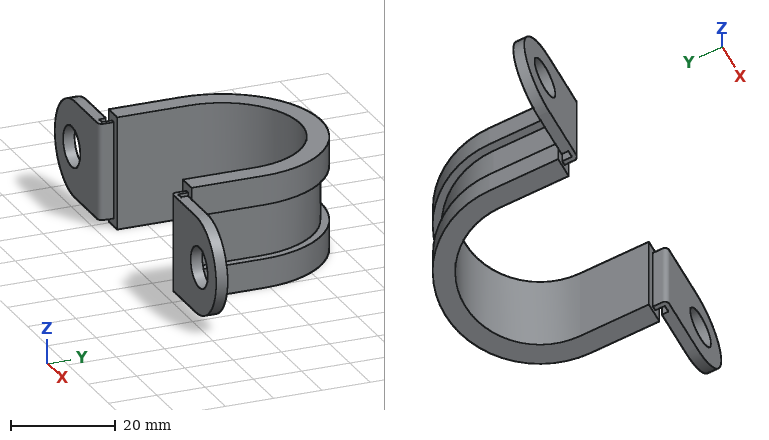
import cadquery as cq

overall_length = 79.8
overall_depth = 38.5

cushion_width = 23.4
cushion_outer_radius = 20.5
cushion_thickness = 4.3
cushion_end_y = 3.0
groove_width = 11.25
groove_depth = 1.7

strap_thickness = 0.95
lug_thickness = 2.4
lug_width = 20.0
lug_gap = 1.4
hole_diameter = 8.4
hole_edge_distance = 8.4

arch_center_y = overall_depth - cushion_outer_radius
cushion_inner_radius = cushion_outer_radius - cushion_thickness
strap_outer_radius = cushion_outer_radius - groove_depth
strap_inner_radius = strap_outer_radius - strap_thickness


def arch(outer_radius, inner_radius, end_y, width):
    """A half ring with straight legs running down to end_y, centered on Z = 0."""
    return (
        cq.Workplane("XY")
        .workplane(offset=-width / 2)
        .moveTo(-outer_radius, end_y)
        .lineTo(-outer_radius, arch_center_y)
        .threePointArc((0, arch_center_y + outer_radius), (outer_radius, arch_center_y))
        .lineTo(outer_radius, end_y)
        .lineTo(inner_radius, end_y)
        .lineTo(inner_radius, arch_center_y)
        .threePointArc((0, arch_center_y + inner_radius), (-inner_radius, arch_center_y))
        .lineTo(-inner_radius, end_y)
        .close()
        .extrude(width)
    )


def make_cushion():
    body = arch(cushion_outer_radius, cushion_inner_radius, cushion_end_y, cushion_width)
    groove = arch(cushion_outer_radius, strap_outer_radius, cushion_end_y, groove_width)
    return body.cut(groove)


def make_right_lug():
    """The lug on the +X side, with the strap leg that joins it to the cushion."""
    end_x = overall_length / 2
    pad_x = strap_outer_radius + lug_gap
    profile = (
        cq.Workplane("XY")
        .workplane(offset=-lug_width / 2)
        .moveTo(strap_inner_radius, cushion_end_y)
        .lineTo(strap_inner_radius, strap_thickness)
        .radiusArc((strap_outer_radius, 0), -strap_thickness)
        .lineTo(end_x, 0)
        .lineTo(end_x, lug_thickness)
        .lineTo(pad_x, lug_thickness)
        .lineTo(pad_x, strap_thickness)
        .lineTo(strap_outer_radius, strap_thickness)
        .lineTo(strap_outer_radius, cushion_end_y)
        .close()
        .extrude(lug_width)
    )
    half_width = lug_width / 2
    round_x = end_x - half_width
    outline = (
        cq.Workplane("XZ")
        .moveTo(0, -half_width)
        .lineTo(round_x, -half_width)
        .threePointArc((end_x, 0), (round_x, half_width))
        .lineTo(0, half_width)
        .close()
        .extrude(-cushion_end_y)
    )
    hole = (
        cq.Workplane("XZ")
        .center(end_x - hole_edge_distance, 0)
        .circle(hole_diameter / 2)
        .extrude(-lug_thickness)
    )
    return profile.intersect(outline).cut(hole)


right_lug = make_right_lug()
left_lug = right_lug.mirror("YZ")
result = make_cushion().union(right_lug).union(left_lug)